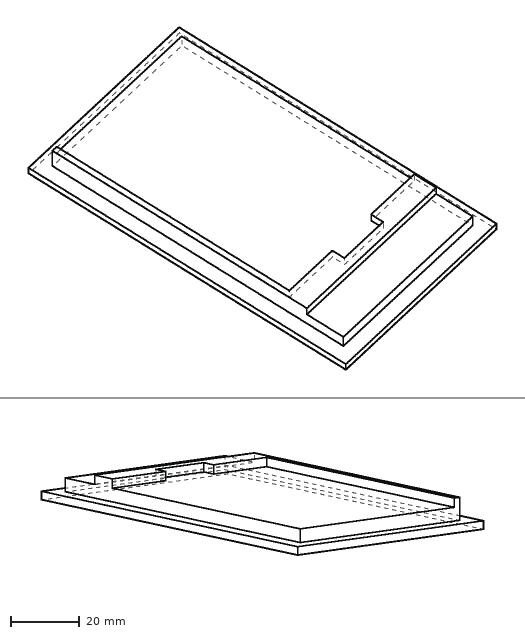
import cadquery as cq

plate_length = 120.0
plate_width = 70.0
plate_thickness = 2.5

total_height = 9.4
block_length = 110.0
block_width = 60.0

recess_depth = 2.8
recess_length = 88.0
rail_width = 2.0
step_start = 96.2

notch_depth = 4.5
notch_width = 18.0
notch_offset = 29.0

block_left = -block_length / 2
block_front = -block_width / 2
block_back = block_width / 2
ledge_height = total_height - recess_depth


def box_from_corner(x, y, z, length, width, height):
    """Box whose minimum corner is at (x, y, z)."""
    return cq.Workplane("XY").box(length, width, height, centered=False).translate((x, y, z))


plate = box_from_corner(-plate_length / 2, -plate_width / 2, 0, plate_length, plate_width, plate_thickness)
block = box_from_corner(
    block_left, block_front, plate_thickness, block_length, block_width, total_height - plate_thickness
)

recess = box_from_corner(
    block_left, block_front + rail_width, ledge_height, recess_length, block_width - rail_width, recess_depth
)
notch = box_from_corner(
    block_left + recess_length,
    block_back - notch_offset - notch_width / 2,
    ledge_height,
    notch_depth,
    notch_width,
    recess_depth,
)
end_step = box_from_corner(
    block_left + step_start, block_front, ledge_height, block_length - step_start, block_width, recess_depth
)

result = plate.union(block).cut(recess).cut(notch).cut(end_step)